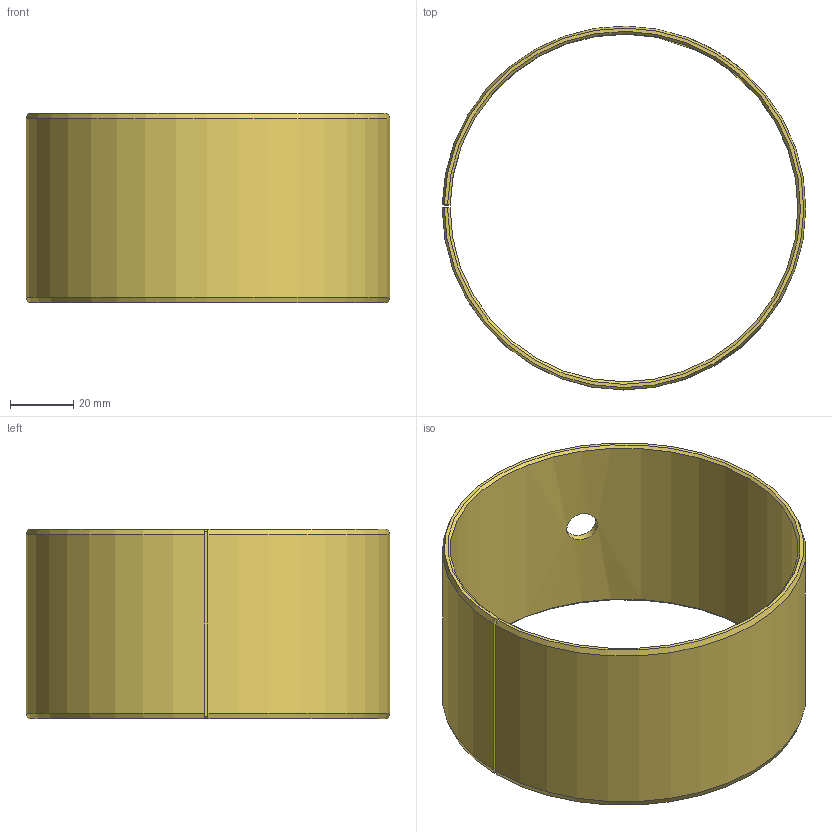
import cadquery as cq
import math

outer_diameter = 115.0
wall_thickness = 2.5
length = 60.0

outer_chamfer_length = 1.8
outer_chamfer_angle = 20.0
outer_chamfer_depth = outer_chamfer_length * math.tan(math.radians(outer_chamfer_angle))

inner_chamfer = 0.8

full_turn = 360.0
joint_gap_angle = 1.0
strip_start_angle = 180.0
strip_end_angle = strip_start_angle - joint_gap_angle

oil_hole_diameter = 10.0
oil_hole_angle = strip_end_angle - full_turn / 3

outer_radius = outer_diameter / 2
inner_radius = outer_radius - wall_thickness
half_length = length / 2


def rotate_about_z(body, angle):
    """Turn a body about the bush axis."""
    return body.rotate((0, 0, 0), (0, 0, 1), angle)


def make_split_bush():
    """Revolve the chamfered wall section almost all the way round, leaving the joint open."""
    outer_chamfer_z = half_length - outer_chamfer_length
    inner_chamfer_z = half_length - inner_chamfer
    end_outer_radius = outer_radius - outer_chamfer_depth
    end_inner_radius = inner_radius + inner_chamfer
    section = (
        cq.Workplane("XZ")
        .moveTo(inner_radius, -inner_chamfer_z)
        .lineTo(end_inner_radius, -half_length)
        .lineTo(end_outer_radius, -half_length)
        .lineTo(outer_radius, -outer_chamfer_z)
        .lineTo(outer_radius, outer_chamfer_z)
        .lineTo(end_outer_radius, half_length)
        .lineTo(end_inner_radius, half_length)
        .lineTo(inner_radius, inner_chamfer_z)
        .close()
    )
    strip = section.revolve(full_turn - joint_gap_angle, (0, 0, 0), (0, 1, 0))
    return rotate_about_z(strip, strip_start_angle)


def make_oil_hole_cutter():
    """Cylinder from the bush axis out through one side of the wall."""
    cutter = cq.Workplane("YZ").circle(oil_hole_diameter / 2).extrude(outer_diameter)
    return rotate_about_z(cutter, oil_hole_angle)


result = make_split_bush().cut(make_oil_hole_cutter())